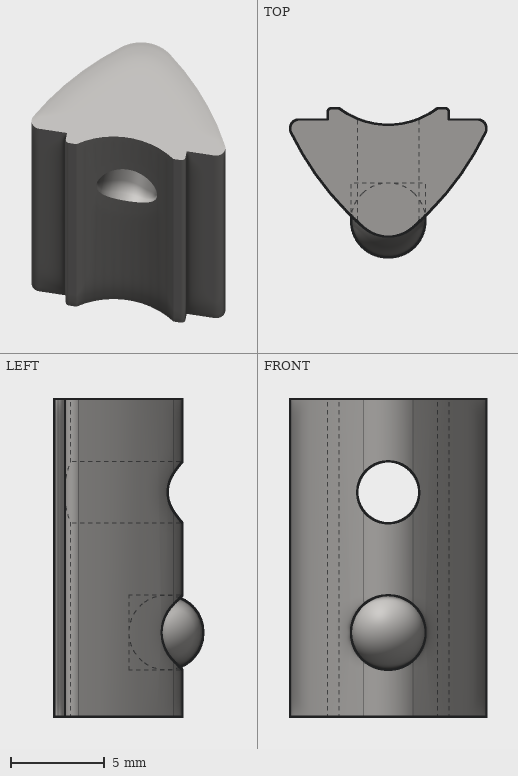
import cadquery as cq
import math

length = 17.0
width = 10.5
nose_y = -6.87
nose_radius = 2.0
flank_radius = 15.81
shoulder_y = -0.6
corner_radius = 0.5

rib_outer_x = 3.25
rib_inner_x = 2.64
rib_round = 0.2
hollow_depth = 0.88

hole_diameter = 3.3
hole_z = 12.0

ball_diameter = 4.0
ball_z = 4.5
ball_front_y = -7.99

ball_radius = ball_diameter / 2
ball_y = ball_front_y + ball_radius


def flank_centre(corner, nose):
    """Centre of the flank arc that is tangent to the corner and nose circles."""
    to_corner = flank_radius - corner_radius
    to_nose = flank_radius - nose_radius
    dx = nose[0] - corner[0]
    dy = nose[1] - corner[1]
    span = math.hypot(dx, dy)
    along = (to_corner**2 - to_nose**2 + span**2) / (2 * span)
    across = math.sqrt(to_corner**2 - along**2)
    return (
        corner[0] + (along * dx + across * dy) / span,
        corner[1] + (along * dy - across * dx) / span,
    )


def point_at(centre, radius, angle):
    """Point on a circle at an angle given in radians."""
    return (centre[0] + radius * math.cos(angle), centre[1] + radius * math.sin(angle))


def angle_from(start, end):
    """Direction from one point to another, in radians."""
    return math.atan2(end[1] - start[1], end[0] - start[0])


def mirrored(point):
    """Same point on the other side of the YZ plane."""
    return (-point[0], point[1])


def make_nut():
    """Wedge-shaped nut with a through hole and a blind bore for the ball."""
    corner = (width / 2 - corner_radius, shoulder_y - corner_radius)
    nose = (0, nose_y + nose_radius)
    flank = flank_centre(corner, nose)
    upper_angle = angle_from(flank, corner)
    lower_angle = angle_from(flank, nose)

    corner_top = (corner[0], shoulder_y)
    corner_mid = point_at(corner, corner_radius, (math.pi / 2 + upper_angle) / 2)
    flank_top = point_at(flank, flank_radius, upper_angle)
    flank_mid = point_at(flank, flank_radius, (upper_angle + lower_angle) / 2)
    flank_end = point_at(flank, flank_radius, lower_angle)

    nut = (
        cq.Workplane("XY")
        .moveTo(-rib_inner_x, 0)
        .threePointArc((0, -hollow_depth), (rib_inner_x, 0))
        .lineTo(rib_outer_x, 0)
        .lineTo(rib_outer_x, shoulder_y)
        .lineTo(*corner_top)
        .threePointArc(corner_mid, flank_top)
        .threePointArc(flank_mid, flank_end)
        .threePointArc((0, nose_y), mirrored(flank_end))
        .threePointArc(mirrored(flank_mid), mirrored(flank_top))
        .threePointArc(mirrored(corner_mid), mirrored(corner_top))
        .lineTo(-rib_outer_x, shoulder_y)
        .lineTo(-rib_outer_x, 0)
        .close()
        .extrude(length)
    )

    for side in (-1, 1):
        rib_edge = cq.NearestToPointSelector((side * rib_outer_x, 0, length / 2))
        nut = nut.edges(rib_edge).fillet(rib_round)

    hole = cq.Workplane("XZ").center(0, hole_z).circle(hole_diameter / 2).extrude(-nose_y)

    bore_bottom_y = ball_y + ball_radius
    bore = (
        cq.Workplane("XZ", origin=(0, bore_bottom_y, ball_z))
        .circle(ball_radius)
        .extrude(ball_diameter)
    )
    return nut.cut(hole).cut(bore)


def make_ball():
    """Detent ball standing out of the nose of the nut."""
    return cq.Workplane("XY").sphere(ball_radius).translate((0, ball_y, ball_z))


nut = make_nut()
ball = make_ball()

result = cq.Compound.makeCompound([nut.solids().val(), ball.val()])